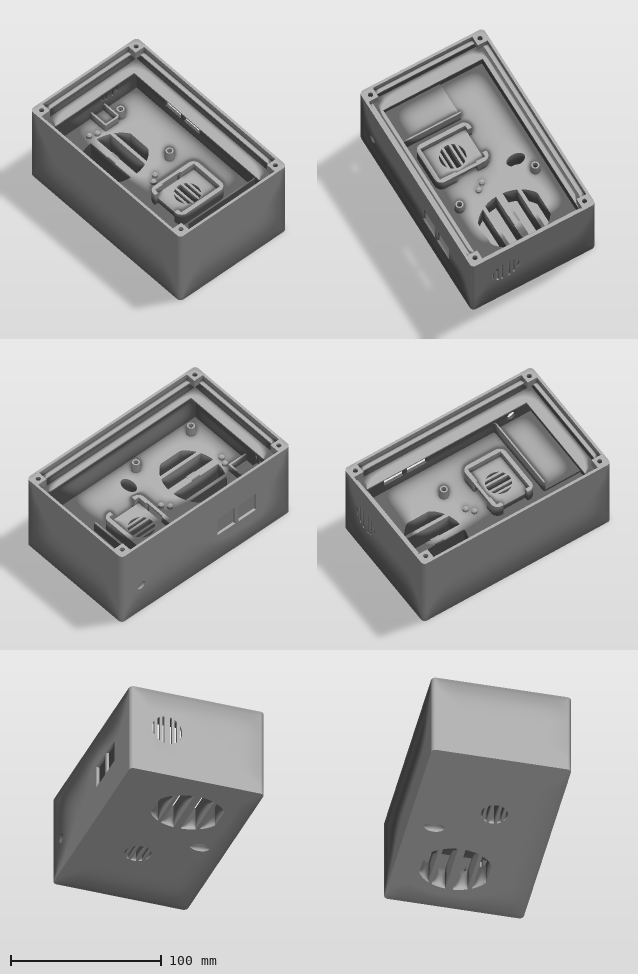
import cadquery as cq

length = 150.0
width = 95.0
height = 65.0
corner_radius = 3.0
wall = 2.0
inner_length = length - 2 * wall
inner_width = width - 2 * wall
inner_back = inner_width / 2
inner_right = inner_length / 2

floor_top = 17.0
fence_top = 27.0
ledge_top = 46.8
plate_thickness = 1.0
rail_top = 59.4

rail_depth_x = 2.8
rail_depth_y = 3.2
block_size = 9.5
block_height = height - rail_top + plate_thickness
screw_inset = 5.5
screw_diameter = 3.5

opening_left, opening_right = -64.6, 63.2
opening_front, opening_back = -40.4, 35.8

vent_x, vent_y = -36.9, -6.9
vent_half_x, vent_half_y = 20.1, 25.2
vent_flat_length = 45.5
vent_side_bar = 2.5
vent_middle_bar = 2 * vent_side_bar
vent_bar_pitch = 13.5

clip_length = 7.0
clip_depth = 1.2
clip_height = 0.9
clip_shift = 0.5

oval_x, oval_y = 0.3, -29.4
oval_half_x, oval_half_y = 4.2, 6.8

holder_left, holder_right = 5.2, 37.5
holder_front, holder_back = -13.5, 27.0
holder_radius = 5.1
holder_wall = 3.0
holder_seat = 21.5
holder_gap_left, holder_gap_right = 11.7, 31.0
fan_window_front, fan_window_back = -3.5, 12.3
lintel_depth = 2.1
lintel_height = 2.1
fan_x, fan_y = 21.3, 6.8
fan_diameter = 18.2
fan_bar = 1.6
fan_bar_offsets = (-6.5, -2.7, 2.7, 6.5)

pad_left, pad_front = 44.1, -13.5
pad_top = 18.8
pad_radius = 1.5
partition_fillet = 1.8

side_vent_y, side_vent_z = 21.5, 35.4
side_vent_diameter = 21.2
side_bar = 1.8
side_middle_bar = 4.0
side_bar_offsets = (-8.0, -4.4, 4.4, 8.0)

window_width, window_height = 15.6, 15.9
window_sill = 24.2
window_left_sides = (-44.2, -25.8)
jack_x, jack_z, jack_diameter = 57.6, 25.0, 6.8

socket_right = -57.9
socket_front, socket_back = 4.5, 17.4
socket_wall = 1.4
socket_height = 6.0
socket_chamfer = 1.4

peg_diameter = 4.0
peg_tip_diameter = 1.8
peg_shoulder = 2.0
peg_height = 2.8
peg_places = ((-59.8, -1.0), (-61.8, -6.6), (-7.4, 3.3), (-3.5, -1.4))

standoff_base_diameter = 6.8
standoff_top_diameter = 5.4
standoff_hole_diameter = 3.5
standoff_height = 7.2
standoff_left, standoff_front = -61.6, -36.9
standoff_pitch_x, standoff_pitch_y = 48.9, 58.0


def block(x_range, y_range, z_range):
    """Box spanning the given ranges."""
    (x0, x1), (y0, y1), (z0, z1) = x_range, y_range, z_range
    return cq.Workplane("XY").box(x1 - x0, y1 - y0, z1 - z0, centered=False).translate((x0, y0, z0))


def frame(opening, top):
    """Thin plate filling the case from wall to wall, with a rectangular opening."""
    bottom = top - plate_thickness
    outer = block((-inner_right, inner_right), (-inner_back, inner_back), (bottom, top))
    return outer.cut(block(*opening, (bottom, top)))


def shell():
    """Rounded case, open at the top, with a thick floor."""
    case = cq.Workplane("XY").box(length, width, height, centered=(True, True, False))
    case = case.edges("|Z").fillet(corner_radius)
    cavity = block((-inner_right, inner_right), (-inner_back, inner_back), (floor_top, height))
    return case.cut(cavity)


def corner_blocks():
    """Four screw blocks in the top corners, each with a hole through it."""
    centre_x = inner_right - (block_size - wall) / 2
    centre_y = inner_back - (block_size - wall) / 2
    screw_x = length / 2 - screw_inset
    screw_y = width / 2 - screw_inset
    side = block_size - wall
    top = cq.Workplane("XY").workplane(offset=height)
    blocks = top.rect(2 * centre_x, 2 * centre_y, forConstruction=True).vertices()
    blocks = blocks.rect(side, side).extrude(-block_height)
    holes = top.rect(2 * screw_x, 2 * screw_y, forConstruction=True).vertices()
    return blocks.cut(holes.circle(screw_diameter / 2).extrude(-block_height))


def lid_rail():
    x = inner_right - rail_depth_x
    y = inner_back - rail_depth_y
    return frame(((-x, x), (-y, y)), rail_top)


def ledge():
    return frame(((opening_left, opening_right), (opening_front, opening_back)), ledge_top)


def floor_vent():
    """Cutter for the large vent, with its bars left out."""
    cutter = cq.Workplane("XY").ellipse(vent_half_x, vent_half_y).extrude(floor_top)
    flats = cq.Workplane("XY").rect(2 * vent_half_x, vent_flat_length).extrude(floor_top)
    cutter = cutter.intersect(flats)
    bars = ((-vent_bar_pitch, vent_side_bar), (0, vent_middle_bar), (vent_bar_pitch, vent_side_bar))
    for offset, thickness in bars:
        bar = cq.Workplane("XY").center(0, offset).rect(2 * vent_half_x, thickness).extrude(floor_top)
        cutter = cutter.cut(bar)
    return cutter.translate((vent_x, vent_y, 0))


def vent_clips():
    """Two ramps on the middle bar, rising toward its long edges."""
    edge = vent_middle_bar / 2
    ramp = (
        cq.Workplane("YZ")
        .polyline([(edge - clip_depth, 0), (edge, 0), (edge, clip_height)])
        .close()
        .extrude(clip_length / 2, both=True)
    )
    back_clip = ramp.translate((-clip_shift, 0, 0))
    front_clip = ramp.mirror("XZ").translate((clip_shift, 0, 0))
    return [clip.translate((vent_x, vent_y, floor_top)) for clip in (back_clip, front_clip)]


def oval_hole():
    return cq.Workplane("XY").center(oval_x, oval_y).ellipse(oval_half_x, oval_half_y).extrude(floor_top)


def fan_holder():
    """Raised seat in a rounded rim, with a gap in front and a window under a lintel on the left."""
    holder = block((holder_left, holder_right), (holder_front, holder_back), (floor_top, fence_top))
    holder = holder.edges("|Z").fillet(holder_radius)
    inner_left = holder_left + holder_wall
    inner_front = holder_front + holder_wall
    seat = block(
        (inner_left, holder_right - holder_wall),
        (inner_front, holder_back - holder_wall),
        (holder_seat, fence_top),
    )
    gap = block((holder_gap_left, holder_gap_right), (holder_front, inner_front), (floor_top, fence_top))
    window_y = (fan_window_front, fan_window_back)
    lintel_bottom = fence_top - lintel_height
    window = block((holder_left, inner_left), window_y, (floor_top, lintel_bottom))
    slot = block((holder_left + lintel_depth, inner_left), window_y, (lintel_bottom, fence_top))
    return holder.cut(seat).cut(gap).cut(window).cut(slot)


def fan_vent():
    """Cutter for the round vent below the fan, with its bars left out."""
    cutter = cq.Workplane("XY").circle(fan_diameter / 2).extrude(holder_seat)
    for offset in fan_bar_offsets:
        bar = cq.Workplane("XY").center(0, offset).rect(fan_diameter, fan_bar).extrude(holder_seat)
        cutter = cutter.cut(bar)
    return cutter.translate((fan_x, fan_y, 0))


def pad_and_partition():
    """Raised pad in the back right corner, with a thin partition along its left edge."""
    y_range = (pad_front, inner_back)
    blank = block((pad_left, inner_right), y_range, (floor_top, fence_top))
    blank = blank.edges("|Z and <X and <Y").fillet(pad_radius)
    above_pad = block((pad_left + plate_thickness, inner_right), y_range, (pad_top, fence_top))
    fillet_x = pad_left - partition_fillet
    fillet_y = inner_back - partition_fillet
    web = block((fillet_x, pad_left), (fillet_y, inner_back), (floor_top, fence_top))
    round_cut = (
        cq.Workplane("XY")
        .workplane(offset=floor_top)
        .center(fillet_x, fillet_y)
        .circle(partition_fillet)
        .extrude(fence_top - floor_top)
    )
    return blank.cut(above_pad).union(web.cut(round_cut))


def side_vent():
    """Cutter for the round vent in the left wall, with its bars left out."""
    cutter = cq.Workplane("YZ").circle(side_vent_diameter / 2).extrude(wall)
    bars = [(offset, side_bar) for offset in side_bar_offsets]
    bars.append((0, side_middle_bar))
    for offset, thickness in bars:
        bar = cq.Workplane("YZ").center(offset, 0).rect(thickness, side_vent_diameter).extrude(wall)
        cutter = cutter.cut(bar)
    return cutter.translate((-length / 2, side_vent_y, side_vent_z))


def back_openings():
    """Cutters for the two connector windows and the round jack hole."""
    y_range = (inner_back, width / 2)
    z_range = (window_sill, window_sill + window_height)
    cutters = [block((x, x + window_width), y_range, z_range) for x in window_left_sides]
    jack = cq.Workplane("XZ").center(jack_x, jack_z).circle(jack_diameter / 2).extrude(-wall)
    return cutters + [jack.translate((0, inner_back, 0))]


def socket_fence():
    """Low three-sided fence against the left wall."""
    z_range = (floor_top, floor_top + socket_height)
    fence = block((-inner_right, socket_right), (socket_front, socket_back), z_range)
    fence = fence.edges("|Z and >X and >Y").chamfer(socket_chamfer)
    inside_y = (socket_front + socket_wall, socket_back - socket_wall)
    return fence.cut(block((-inner_right, socket_right - socket_wall), inside_y, z_range))


def peg(x, y):
    """Round peg with a tapered tip."""
    tip = peg_tip_diameter / 2
    radius = peg_diameter / 2
    profile = [(0, 0), (radius, 0), (radius, peg_shoulder), (tip, peg_height), (0, peg_height)]
    solid = cq.Workplane("XZ").polyline(profile).close().revolve(360, (0, 0), (0, 1))
    return solid.translate((x, y, floor_top))


def make_housing():
    body = shell()
    additions = [corner_blocks(), lid_rail(), ledge(), fan_holder(), pad_and_partition(), socket_fence()]
    additions += [peg(x, y) for x, y in peg_places]
    for addition in additions:
        body = body.union(addition)
    for cutter in [floor_vent(), oval_hole(), fan_vent(), side_vent(), *back_openings()]:
        body = body.cut(cutter)
    for clip in vent_clips():
        body = body.union(clip)
    return body


def make_standoff(x, y):
    """Tapered tube standing on the floor."""
    bore = standoff_hole_diameter / 2
    profile = [
        (bore, 0),
        (standoff_base_diameter / 2, 0),
        (standoff_top_diameter / 2, standoff_height),
        (bore, standoff_height),
    ]
    tube = cq.Workplane("XZ").polyline(profile).close().revolve(360, (0, 0), (0, 1))
    return tube.translate((x, y, floor_top))


housing = make_housing()
standoffs = []
for column in range(2):
    for row in range(2):
        place_x = standoff_left + column * standoff_pitch_x
        place_y = standoff_front + row * standoff_pitch_y
        standoffs.append(make_standoff(place_x, place_y))

result = cq.Compound.makeCompound([housing.val(), *[standoff.val() for standoff in standoffs]])